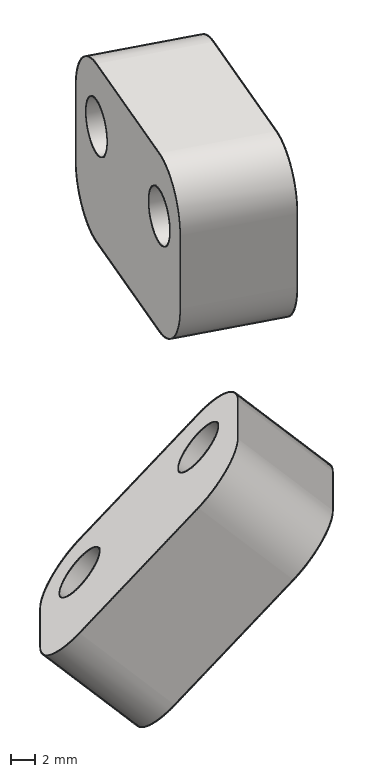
import cadquery as cq

length = 25.0
depth = 10.2
height = 17.0
corner_radius = 5.0

hole_diameter = 5.1
hole_drop = 6.0
hole_spacing = length - 2 * corner_radius
hole_z = height / 2 - hole_drop


def rounded_block():
    """Block centered on the origin, rounded on its four edges along Y."""
    return cq.Workplane("XY").box(length, depth, height).edges("|Y").fillet(corner_radius)


def hole_cutters():
    """Two cylinders along Y that span the full depth."""
    return (
        cq.Workplane("XZ")
        .pushPoints([(side * hole_spacing / 2, hole_z) for side in (-1, 1)])
        .circle(hole_diameter / 2)
        .extrude(depth / 2, both=True)
    )


result = rounded_block().cut(hole_cutters())